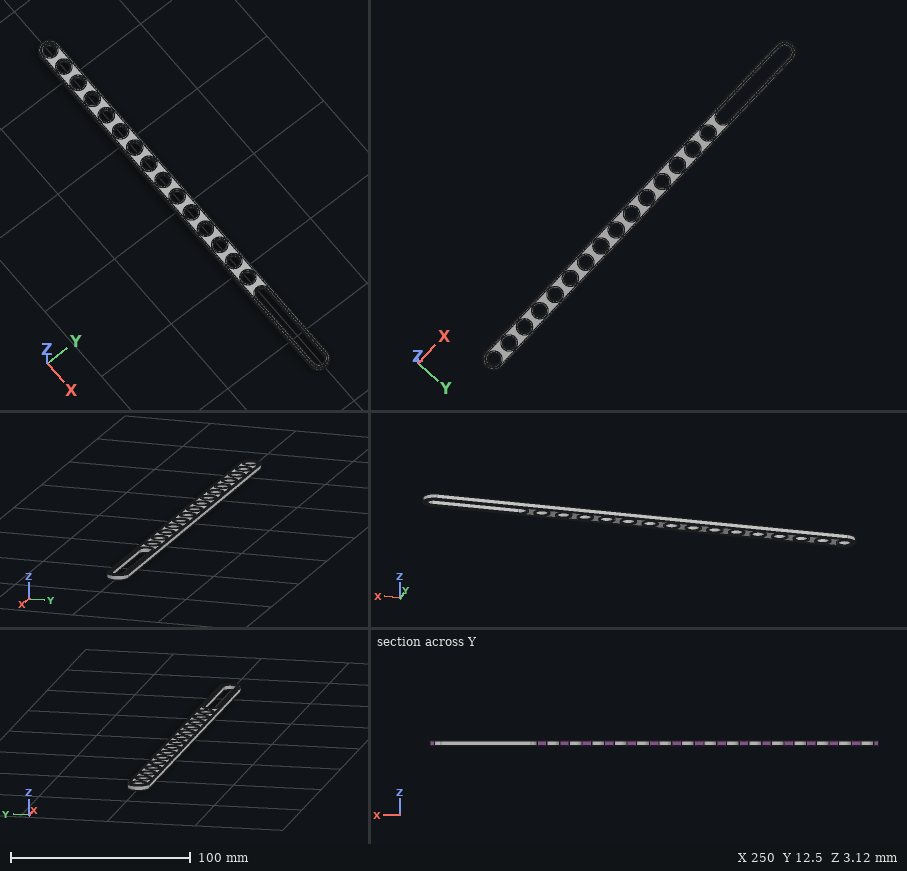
import cadquery as cq

length = 250.0
width = 12.5
thickness = 3.12

edge_chamfer = 0.3

pitch = width
hole_count = 15
bore_diameter = 7.0

ring_diameter = 9.2
rim_width = (ring_diameter - bore_diameter) / 2

recess_depth = 0.2

first_hole_x = -length / 2 + width / 2
hole_centres = [(first_hole_x + i * pitch, 0) for i in range(hole_count)]
slot_start_x = first_hole_x + hole_count * pitch
slot_end_x = length / 2 - width / 2


def make_openings(diameter):
    """Prisms of one diameter at every hole and along the slot, taller than the bar."""
    holes = cq.Workplane("XY").pushPoints(hole_centres).circle(diameter / 2).extrude(thickness, both=True)
    slot = (
        cq.Workplane("XY")
        .center((slot_start_x + slot_end_x) / 2, 0)
        .slot2D(slot_end_x - slot_start_x + diameter, diameter)
        .extrude(thickness, both=True)
    )
    return holes.union(slot)


def make_bar():
    """Bar with its through openings and all top and bottom edges chamfered."""
    blank = cq.Workplane("XY").slot2D(length, width).extrude(thickness / 2, both=True)
    pierced = blank.cut(make_openings(bore_diameter))
    return pierced.faces("|Z").edges().chamfer(edge_chamfer)


def make_recess(bottom_z):
    """Recess volume inside the rim and outside the rings, rising from bottom_z."""
    inside_rim = (
        cq.Workplane("XY", origin=(0, 0, bottom_z))
        .slot2D(length - 2 * rim_width, width - 2 * rim_width)
        .extrude(recess_depth)
    )
    return inside_rim.cut(make_openings(ring_diameter))


top_recess = make_recess(thickness / 2 - recess_depth)
bottom_recess = make_recess(-thickness / 2)
result = make_bar().cut(top_recess).cut(bottom_recess)